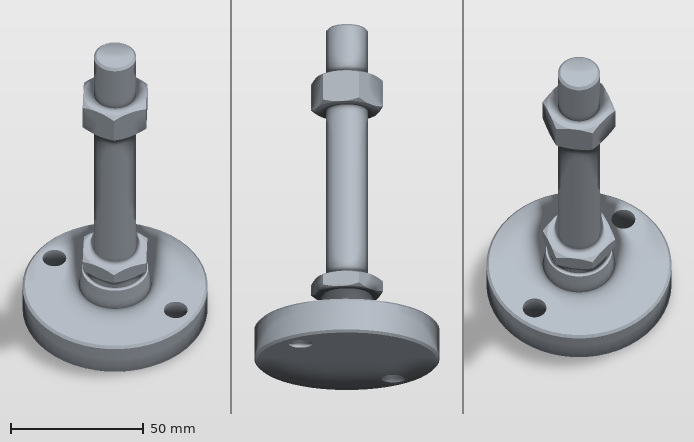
import cadquery as cq
import math

PLATE_DIAMETER = 70.0
PLATE_HEIGHT = 13.5
PLATE_CHAMFER = 0.9
SOCKET_BASE_DIAMETER = 27.5
SOCKET_TOP_DIAMETER = 25.1
SOCKET_TOP_Z = 21.8
MOUNT_HOLE_DIAMETER = 9.0
MOUNT_HOLE_SPACING = 54.0

BALL_RADIUS = 11.2
BALL_CENTRE_Z = 19.5
HEX_BOTTOM_Z = 26.0
HEX_HEIGHT = 6.1
ROD_DIAMETER = 16.0
ROD_TOP_Z = 132.0
ROD_TOP_CHAMFER = 0.9
ROD_BOTTOM_CHAMFER = 0.8

HEX_ACROSS_FLATS = 24.0
NUT_BOTTOM_Z = 99.7
NUT_HEIGHT = 12.3
HEX_CHAMFER_ANGLE = 30.0

HEX_ACROSS_CORNERS = HEX_ACROSS_FLATS / math.cos(math.radians(30))


def cylinder(diameter, bottom_z, height):
    return cq.Workplane("XY").workplane(offset=bottom_z).circle(diameter / 2).extrude(height)


def chamfered_hexagon(bottom_z, height):
    """Hexagonal prism, corners on the X axis, turned conically at both ends."""
    corner_radius = HEX_ACROSS_CORNERS / 2
    face_radius = HEX_ACROSS_FLATS / 2
    drop = (corner_radius - face_radius) * math.tan(math.radians(HEX_CHAMFER_ANGLE))
    top_z = bottom_z + height
    prism = (
        cq.Workplane("XY").workplane(offset=bottom_z)
        .polygon(6, HEX_ACROSS_CORNERS).extrude(height)
    )
    turned_blank = (
        cq.Workplane("XZ")
        .moveTo(0, bottom_z)
        .lineTo(face_radius, bottom_z)
        .lineTo(corner_radius, bottom_z + drop)
        .lineTo(corner_radius, top_z - drop)
        .lineTo(face_radius, top_z)
        .lineTo(0, top_z)
        .close()
        .revolve(360, (0, 0), (0, 1))
    )
    return prism.intersect(turned_blank)


def make_ball():
    """Ball cut flat where it meets the wrench hexagon."""
    sphere = cq.Workplane("XY").sphere(BALL_RADIUS).translate((0, 0, BALL_CENTRE_Z))
    below_hexagon = cylinder(2 * BALL_RADIUS, 0, HEX_BOTTOM_Z)
    return sphere.intersect(below_hexagon)


def make_foot():
    plate = cylinder(PLATE_DIAMETER, 0, PLATE_HEIGHT).edges().chamfer(PLATE_CHAMFER)
    socket = (
        cq.Workplane("XY").workplane(offset=PLATE_HEIGHT)
        .circle(SOCKET_BASE_DIAMETER / 2)
        .workplane(offset=SOCKET_TOP_Z - PLATE_HEIGHT)
        .circle(SOCKET_TOP_DIAMETER / 2)
        .loft(ruled=True)
    )
    mount_holes = (
        cq.Workplane("XY")
        .rarray(MOUNT_HOLE_SPACING, 1.3, 2, 1)
        .circle(MOUNT_HOLE_DIAMETER / 2)
        .extrude(PLATE_HEIGHT)
    )
    return plate.union(socket).cut(mount_holes).cut(make_ball())


def make_spindle():
    rod_bottom_z = HEX_BOTTOM_Z + HEX_HEIGHT
    rod = (
        cylinder(ROD_DIAMETER, rod_bottom_z, ROD_TOP_Z - rod_bottom_z)
        .faces(">Z").chamfer(ROD_TOP_CHAMFER)
        .faces("<Z").chamfer(ROD_BOTTOM_CHAMFER)
    )
    hexagon = chamfered_hexagon(HEX_BOTTOM_Z, HEX_HEIGHT)
    return make_ball().union(hexagon).union(rod)


def make_nut():
    bore = cylinder(ROD_DIAMETER, NUT_BOTTOM_Z, NUT_HEIGHT)
    return chamfered_hexagon(NUT_BOTTOM_Z, NUT_HEIGHT).cut(bore)


foot = make_foot()
spindle = make_spindle()
nut = make_nut()

result = cq.Compound.makeCompound([foot.val(), spindle.val(), nut.val()])